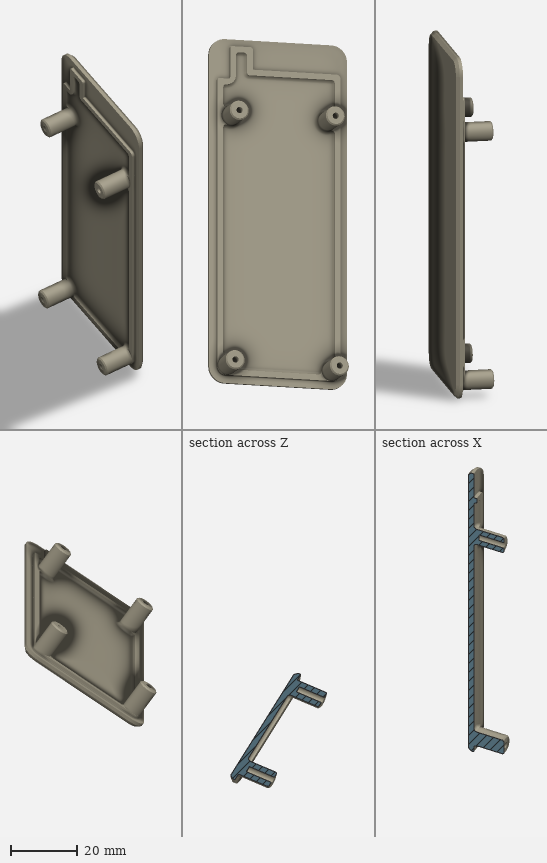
import cadquery as cq

LENGTH = 106.0
WIDTH = 43.5
TOTAL_DEPTH = 12.2
FLANGE_THICKNESS = 2.0
FLANGE_CORNER_RADIUS = 5.0
BACK_CHAMFER = 1.0

LIP_MARGIN = 2.3
LIP_HEIGHT = 1.0
LIP_WIDTH = 1.8
LIP_TOP_LEFT_Z = 40.7
LIP_TOP_RIGHT_Z = 43.9
LIP_BOTTOM_RADIUS = 2.8
LIP_TOP_RIGHT_RADIUS = 1.3
LIP_BASE_FILLET = 0.25
LIP_SIDE_X = WIDTH / 2 - LIP_MARGIN
LIP_BOTTOM_Z = -LENGTH / 2 + LIP_MARGIN

TAB_LEFT_X = -15.4
TAB_RIGHT_X = -8.3
TAB_TOP_Z = 50.8
TAB_CORNER_RADIUS = 0.6

RECESS_CORNER_RADIUS = 1.0
RECESS_FOOT_FILLET = 0.99
TAB_LEFT_BEND_RADIUS = 3.0
TAB_RIGHT_BEND_RADIUS = 0.7

BOSS_RADIUS = 3.0
BOSS_TIP_CHAMFER = 0.4
BOSS_HOLE_RADIUS = 1.0
BOSS_HOLE_DEPTH = 8.5
LOWER_BOSS_X = LIP_SIDE_X - BOSS_RADIUS
LOWER_BOSS_Z = LIP_BOTTOM_Z + BOSS_RADIUS
UPPER_BOSS_X = 15.2
UPPER_BOSS_Z = 29.3
BOSS_CENTERS = [
    (side * x, z)
    for side in (-1, 1)
    for x, z in ((LOWER_BOSS_X, LOWER_BOSS_Z), (UPPER_BOSS_X, UPPER_BOSS_Z))
]

PICK_SLACK = 0.05


def front_plane(depth):
    """Sketch plane facing -Y at the given distance in front of the back face."""
    return cq.Workplane("XZ", origin=(0, -depth, 0))


def round_upright_edges(body, x, z, reach, radius):
    """Fillet the edges parallel to Y that lie within reach of (x, z) along X and Z."""
    near_point = cq.selectors.BoxSelector(
        (x - reach, -TOTAL_DEPTH, z - reach),
        (x + reach, 0, z + reach),
    )
    return body.edges("|Y").edges(near_point).fillet(radius)


def stepped_outline(inset):
    """Corners of the lip moved inward by inset, counter-clockwise from the lower left."""
    side_x = LIP_SIDE_X - inset
    bottom_z = LIP_BOTTOM_Z + inset
    shelf_left_z = LIP_TOP_LEFT_Z - inset
    shelf_right_z = LIP_TOP_RIGHT_Z - inset
    tab_left_x = TAB_LEFT_X + inset
    tab_right_x = TAB_RIGHT_X - inset
    tab_top_z = TAB_TOP_Z - inset
    return [
        (-side_x, bottom_z),
        (side_x, bottom_z),
        (side_x, shelf_right_z),
        (tab_right_x, shelf_right_z),
        (tab_right_x, tab_top_z),
        (tab_left_x, tab_top_z),
        (tab_left_x, shelf_left_z),
        (-side_x, shelf_left_z),
    ]


def stepped_block(inset, corner_radii):
    """Slab as high as the lip; a radius of None leaves that corner sharp."""
    corners = stepped_outline(inset)
    block = front_plane(FLANGE_THICKNESS).polyline(corners).close().extrude(LIP_HEIGHT)
    for (x, z), radius in zip(corners, corner_radii):
        if radius is not None:
            block = round_upright_edges(block, x, z, PICK_SLACK, radius)
    return block


def make_flange():
    plate = front_plane(0).rect(WIDTH, LENGTH).extrude(FLANGE_THICKNESS)
    plate = plate.edges("|Y").fillet(FLANGE_CORNER_RADIUS)
    return plate.faces(">Y").chamfer(BACK_CHAMFER)


def make_lip_block():
    """Area enclosed by the lip, still solid."""
    return stepped_block(0, [
        LIP_BOTTOM_RADIUS,
        LIP_BOTTOM_RADIUS,
        LIP_TOP_RIGHT_RADIUS,
        None,
        TAB_CORNER_RADIUS,
        TAB_CORNER_RADIUS,
        TAB_CORNER_RADIUS,
        TAB_CORNER_RADIUS,
    ])


def round_lip_base(body):
    """Fillet where the outside of the lip meets the flange."""
    half_width = (WIDTH - LIP_MARGIN) / 2
    half_length = (LENGTH - LIP_MARGIN) / 2
    lip_base = cq.selectors.BoxSelector(
        (-half_width, -FLANGE_THICKNESS - PICK_SLACK, -half_length),
        (half_width, -FLANGE_THICKNESS + PICK_SLACK, half_length),
        boundingbox=True,
    )
    return body.edges(lip_base).fillet(LIP_BASE_FILLET)


def make_bosses():
    height = TOTAL_DEPTH - FLANGE_THICKNESS
    bosses = front_plane(FLANGE_THICKNESS).pushPoints(BOSS_CENTERS).circle(BOSS_RADIUS).extrude(height)
    return bosses.faces("<Y").chamfer(BOSS_TIP_CHAMFER)


def make_boss_holes():
    hole_bottom = front_plane(TOTAL_DEPTH - BOSS_HOLE_DEPTH)
    return hole_bottom.pushPoints(BOSS_CENTERS).circle(BOSS_HOLE_RADIUS).extrude(BOSS_HOLE_DEPTH)


def make_recess(bosses):
    """Space inside the lip, running around the bosses, with its corners and foot rounded."""
    recess = stepped_block(LIP_WIDTH, [
        None,
        None,
        RECESS_CORNER_RADIUS,
        TAB_RIGHT_BEND_RADIUS,
        RECESS_CORNER_RADIUS,
        RECESS_CORNER_RADIUS,
        TAB_LEFT_BEND_RADIUS,
        RECESS_CORNER_RADIUS,
    ])
    recess = recess.cut(bosses)
    for x, z in BOSS_CENTERS:
        recess = round_upright_edges(recess, x, z, BOSS_RADIUS + PICK_SLACK, RECESS_CORNER_RADIUS)
    return recess.faces(">Y").edges().fillet(RECESS_FOOT_FILLET)


bosses = make_bosses()
base = round_lip_base(make_flange().union(make_lip_block()))
result = base.cut(make_recess(bosses)).union(bosses).cut(make_boss_holes())